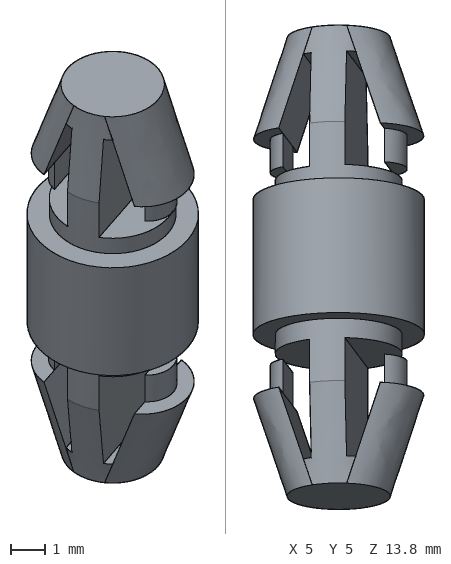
import cadquery as cq
import math

half_length = 6.9
body_half_height = 2.03
disc_top = 2.61
leg_bottom = 2.9
barb_height = 3.0
cap_height = 0.8
barb_bottom = half_length - barb_height
cap_bottom = half_length - cap_height

body_radius = 2.5
disc_radius = 1.85
tip_radius = 1.5
web_thickness = 1.05

barb_lean = body_radius - tip_radius
barb_inner_top = 0.51
barb_inner_bottom = barb_inner_top + barb_lean

leg_thickness = 0.51
leg_half_width = 0.79


def segment(inner_x, half_width, outer_x, z):
    """Wire bounded by a straight inner chord and an arc bulging toward +X."""
    return (
        cq.Workplane("XY", origin=(0, 0, z))
        .moveTo(inner_x, -half_width)
        .threePointArc((outer_x, 0), (inner_x, half_width))
        .close()
    )


def make_core():
    """Tapered core: a full cap at the tip and a flat web below it."""
    taper = (
        cq.Workplane("XZ")
        .moveTo(0, 0)
        .lineTo(disc_radius, 0)
        .lineTo(disc_radius, barb_bottom)
        .lineTo(tip_radius, half_length)
        .lineTo(0, half_length)
        .close()
        .revolve(360, (0, 0, 0), (0, 1, 0))
    )
    web = cq.Workplane("XY").rect(web_thickness, 2 * disc_radius).extrude(half_length)
    cap_zone = (
        cq.Workplane("XZ")
        .moveTo(-barb_inner_top, half_length)
        .lineTo(barb_inner_top, half_length)
        .lineTo(barb_inner_top + barb_lean * cap_height / barb_height, cap_bottom)
        .lineTo(-barb_inner_top - barb_lean * cap_height / barb_height, cap_bottom)
        .close()
        .extrude(disc_radius, both=True)
    )
    return taper.intersect(web.union(cap_zone))


def make_barb():
    """Barb on the +X side with its short leg."""
    half_width = math.sqrt(tip_radius**2 - barb_inner_top**2)
    lean_path = (
        cq.Workplane("XZ")
        .moveTo(0, half_length)
        .lineTo(barb_lean, barb_bottom)
    )
    wing = segment(barb_inner_top, half_width, tip_radius, half_length).sweep(lean_path)
    leg = segment(
        barb_inner_bottom, leg_half_width, barb_inner_bottom + leg_thickness, leg_bottom
    ).extrude(barb_bottom - leg_bottom)
    return wing.union(leg)


def make_clip():
    """Complete upper clip."""
    barb = make_barb()
    return make_core().union(barb).union(barb.mirror("YZ"))


def make_disc(radius, half_height):
    """Cylinder on the Z axis, centred on the mid plane."""
    return cq.Workplane("XY", origin=(0, 0, -half_height)).circle(radius).extrude(2 * half_height)


body = make_disc(body_radius, body_half_height)
discs = make_disc(disc_radius, disc_top)
clip = make_clip()
result = body.union(discs).union(clip).union(clip.mirror("XY")).clean()